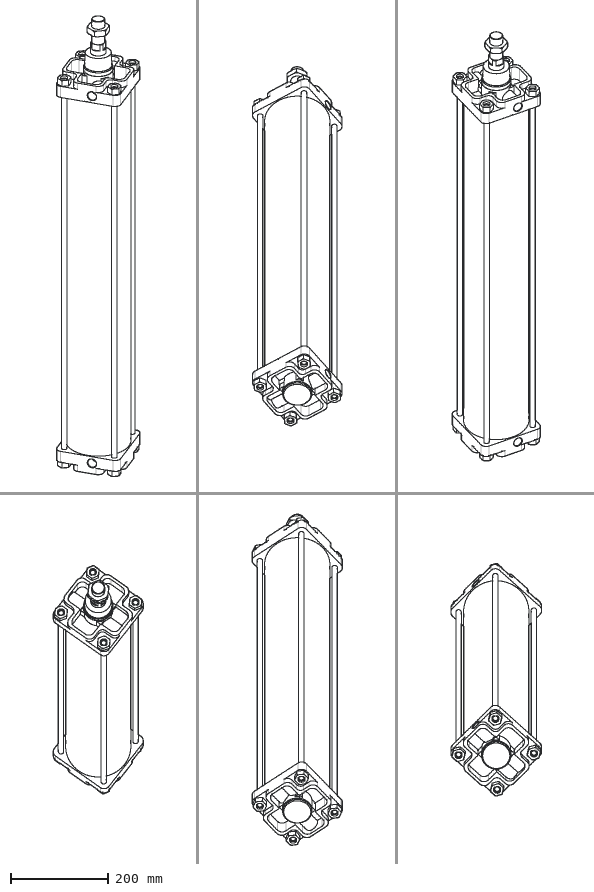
import cadquery as cq
import math

total_length = 1035.0
rear_collar_height = 6.0
cap_height = 40.0
front_cap_top = 916.0
gland_top = 956.0
rod_shoulder = 981.0
front_cap_bottom = front_cap_top - cap_height
rear_cap_top = rear_collar_height + cap_height

cap_side = 140.0
cap_half = cap_side / 2
cap_corner_radius = 12.0
notch_depth = 15.0
arm_half_width = 32.6
arm_root_radius = 10.0

pocket_wall = 6.0
pocket_half_width = arm_half_width - pocket_wall
pocket_half_length = cap_half - pocket_wall
pocket_corner_radius = 12.0
pocket_depth = 31.0

core_side = 2 * pocket_half_width
core_drop = 5.0

port_x = 11.0
port_diameter = 19.0
port_mouth_diameter = 21.0
port_depth = 26.0
port_drop = 25.0
port_boss_diameter = 29.0
cushion_boss_x = -15.0
cushion_boss_diameter = 27.0

barrel_diameter = 135.0
tie_rod_diameter = 11.0
tie_rod_offset = 55.0
tie_nut_flats = 25.0
tie_nut_height = 13.0
tie_nut_bore = 15.0
tie_nut_bore_depth = 5.0
tie_nut_chamfer = 1.0
tie_rod_tip_diameter = 10.1
tie_rod_tip_setback = 4.0

hub_diameter = 61.0
collar_diameter = 60.0
collar_chamfer = 2.0
front_collar_height = 10.0
front_collar_top = front_cap_top + front_collar_height
neck_base_diameter = 57.0
neck_top_diameter = 54.0

rod_diameter = 32.0
rod_flats = 27.0
rod_flats_height = 13.0
thread_diameter = 27.0
thread_chamfer = 1.0
nut_flats = 41.0
nut_height = 13.0
nut_bottom = 1004.0
nut_chamfer = 2.0

tie_rod_places = [(x * tie_rod_offset, y * tie_rod_offset) for x in (-1, 1) for y in (-1, 1)]


def cylinder(diameter, bottom, top):
    """Round bar on the Z axis between two heights."""
    return cq.Workplane("XY").workplane(offset=bottom).circle(diameter / 2).extrude(top - bottom)


def block(length, width, bottom, top):
    """Rectangular bar on the Z axis between two heights."""
    return cq.Workplane("XY").workplane(offset=bottom).rect(length, width).extrude(top - bottom)


def hexagon(flats, height):
    """Hexagonal prism standing on Z = 0, with two of its corners on the Y axis."""
    corner_diameter = flats / math.cos(math.pi / 6)
    prism = cq.Workplane("XY").polygon(6, corner_diameter).extrude(height)
    return prism.rotate((0, 0, 0), (0, 0, 1), 90)


def turned_blank(flats, height, chamfered_ends, chamfer):
    """Chamfered disc around a hexagon, used to turn off the hexagon's corners."""
    corner_diameter = flats / math.cos(math.pi / 6)
    return cylinder(corner_diameter, 0, height).faces(chamfered_ends).chamfer(chamfer)


def cap_cross(bottom, top):
    """Cross-shaped mounting face with rounded tips and rounded inner corners."""
    along_x = block(cap_side, 2 * arm_half_width, bottom, top).edges("|Z").fillet(cap_corner_radius)
    along_y = block(2 * arm_half_width, cap_side, bottom, top).edges("|Z").fillet(cap_corner_radius)
    reach = arm_half_width + arm_root_radius
    root_zone = cq.selectors.BoxSelector((-reach, -reach, bottom), (reach, reach, top))
    return along_x.union(along_y).edges("|Z").edges(root_zone).fillet(arm_root_radius)


def cap_pocket(length, width):
    """Rounded rectangular pocket open at the mounting face."""
    pocket = block(length, width, cap_height - pocket_depth, cap_height)
    return pocket.edges("|Z").fillet(pocket_corner_radius)


def pocket_boss(diameter, x, y_start, y_end):
    """Round boss lying along Y at the height of the port."""
    plane = cq.Workplane("XZ", origin=(x, y_start, cap_height - port_drop))
    return plane.circle(diameter / 2).extrude(y_start - y_end)


def air_port():
    """Blind port in the -Y face with a countersunk mouth."""
    plane = cq.Workplane("XZ", origin=(port_x, -cap_half, cap_height - port_drop))
    bore = plane.circle(port_diameter / 2).extrude(-port_depth)
    mouth_depth = (port_mouth_diameter - port_diameter) / 2
    mouth = plane.circle(port_mouth_diameter / 2).workplane(offset=-mouth_depth)
    return bore.union(mouth.circle(port_diameter / 2).loft())


def tie_nut():
    """Tie-rod nut with its outer end turned, and the stepped rod end set back in its bore."""
    nut = hexagon(tie_nut_flats, tie_nut_height)
    nut = nut.intersect(turned_blank(tie_nut_flats, tie_nut_height, ">Z", tie_nut_chamfer))
    nut = nut.cut(cylinder(tie_nut_bore, tie_nut_height - tie_nut_bore_depth, tie_nut_height))
    return nut.union(cylinder(tie_rod_tip_diameter, 0, tie_nut_height - tie_rod_tip_setback))


def end_cap():
    """End cap with its back on Z = 0 and its mounting face upward."""
    shelf = cap_height - notch_depth
    cap = block(cap_side, cap_side, 0, shelf).edges("|Z").fillet(cap_corner_radius)
    cap = cap.union(cap_cross(shelf, cap_height))
    cap = cap.cut(cap_pocket(2 * pocket_half_length, 2 * pocket_half_width))
    cap = cap.cut(cap_pocket(2 * pocket_half_width, 2 * pocket_half_length))
    cap = cap.union(pocket_boss(port_boss_diameter, port_x, -pocket_half_length, pocket_half_length))
    cap = cap.union(pocket_boss(cushion_boss_diameter, cushion_boss_x, 0, pocket_half_length))
    cap = cap.union(block(core_side, core_side, 0, cap_height - core_drop))
    cap = cap.union(cylinder(hub_diameter, 0, cap_height))
    cap = cap.cut(air_port())
    for x, y in tie_rod_places:
        cap = cap.union(tie_nut().translate((x, y, shelf)))
    return cap


def make_housing():
    """Barrel, tie rods, both end caps and the gland, with a blind seat for the piston rod."""
    housing = cylinder(barrel_diameter, rear_cap_top, front_cap_bottom)
    for x, y in tie_rod_places:
        tie_rod = cylinder(tie_rod_diameter, rear_cap_top, front_cap_bottom)
        housing = housing.union(tie_rod.translate((x, y, 0)))
    housing = housing.union(end_cap().translate((0, 0, front_cap_bottom)))
    housing = housing.union(end_cap().mirror("XY").translate((0, 0, rear_cap_top)))

    rear_collar = cylinder(collar_diameter, 0, rear_collar_height).faces("<Z").chamfer(collar_chamfer)
    front_collar = cylinder(collar_diameter, front_cap_top, front_collar_top)
    front_collar = front_collar.faces(">Z").chamfer(collar_chamfer)
    neck = cq.Workplane("XY").workplane(offset=front_collar_top).circle(neck_base_diameter / 2)
    neck = neck.workplane(offset=gland_top - front_collar_top).circle(neck_top_diameter / 2).loft()
    housing = housing.union(rear_collar).union(front_collar).union(neck)
    return housing.cut(cylinder(rod_diameter, front_cap_bottom, gland_top))


def make_piston_rod():
    """Rod with four wrench flats and a thinner threaded end."""
    flats_bottom = rod_shoulder - rod_flats_height
    rod = cylinder(rod_diameter, front_cap_bottom, rod_shoulder)
    around_flats = block(2 * rod_diameter, 2 * rod_diameter, flats_bottom, rod_shoulder)
    rod = rod.cut(around_flats.cut(block(rod_flats, rod_flats, flats_bottom, rod_shoulder)))
    thread = cylinder(thread_diameter, rod_shoulder, total_length).faces(">Z").chamfer(thread_chamfer)
    return rod.union(thread)


def make_locknut():
    """Hexagonal nut on the rod thread, its corners turned off at both ends."""
    nut = hexagon(nut_flats, nut_height)
    nut = nut.intersect(turned_blank(nut_flats, nut_height, "<Z or >Z", nut_chamfer))
    return nut.cut(cylinder(thread_diameter, 0, nut_height)).translate((0, 0, nut_bottom))


housing = make_housing()
piston_rod = make_piston_rod()
locknut = make_locknut()

result = cq.Compound.makeCompound([housing.val(), piston_rod.val(), locknut.val()])